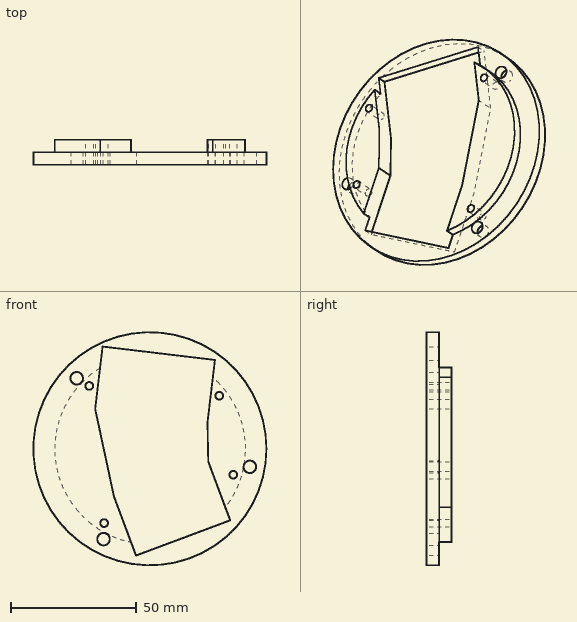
import cadquery as cq
import math

disc_diameter = 93.0
disc_thickness = 5.0
boss_diameter = 76.0
boss_height = 5.0
total_depth = disc_thickness + boss_height

end_length = 25.0
upper_width = 45.0
upper_tilt = -6.8
upper_center = (2.05, 25.6)
lower_width = 40.0
lower_tilt = 20.5
lower_center = (8.85, -23.8)
boss_opening_extension = 5.0

mount_hole_diameter = 4.9
mount_circle_radius = 40.5
mount_angles = (136.1, -10.25, -117.15)
pin_hole_diameter = 3.0
pin_circle_radius = 34.8
pin_angles = (134.0, 37.4, -17.35, -121.6)


def extrude_back(sketch, depth):
    """Extrude an XZ sketch from its own plane toward +Y."""
    return sketch.extrude(-depth)


def polar_points(radius, angles):
    """Points (X, Z) on a circle about the disc axis, angles in degrees from +X."""
    return [
        (radius * math.cos(math.radians(angle)), radius * math.sin(math.radians(angle)))
        for angle in angles
    ]


def tilted_corner(center, tilt, across, along):
    """Point at an offset from center, measured in axes turned by tilt degrees."""
    cosine = math.cos(math.radians(tilt))
    sine = math.sin(math.radians(tilt))
    x = center[0] + across * cosine - along * sine
    z = center[1] + across * sine + along * cosine
    return (x, z)


def end_corners(center, tilt, width, extra_top=0.0, extra_bottom=0.0):
    """Top-left, bottom-left, bottom-right and top-right corners of one opening end."""
    half_width = width / 2
    top = end_length / 2 + extra_top
    bottom = -end_length / 2 - extra_bottom
    offsets = ((-half_width, top), (-half_width, bottom), (half_width, bottom), (half_width, top))
    return [tilted_corner(center, tilt, across, along) for across, along in offsets]


def make_opening(depth, extension=0.0):
    """Eight-sided opening cutter, optionally lengthened past both ends."""
    upper = end_corners(upper_center, upper_tilt, upper_width, extra_top=extension)
    lower = end_corners(lower_center, lower_tilt, lower_width, extra_bottom=extension)
    outline = upper[:2] + lower + upper[2:]
    return extrude_back(cq.Workplane("XZ").polyline(outline).close(), depth)


def make_disc():
    """Front disc with the opening through it."""
    disc = extrude_back(cq.Workplane("XZ").circle(disc_diameter / 2), disc_thickness)
    return disc.cut(make_opening(disc_thickness))


def make_pads():
    """Coaxial boss split by the opening into a left and a right pad."""
    boss_plane = cq.Workplane("XZ", origin=(0, disc_thickness, 0))
    boss = extrude_back(boss_plane.circle(boss_diameter / 2), boss_height)
    return boss.cut(make_opening(total_depth, boss_opening_extension))


def make_holes(radius, angles, diameter, depth):
    """Round holes on a circle about the disc axis, starting at the front face."""
    points = polar_points(radius, angles)
    return extrude_back(cq.Workplane("XZ").pushPoints(points).circle(diameter / 2), depth)


mount_holes = make_holes(mount_circle_radius, mount_angles, mount_hole_diameter, disc_thickness)
pin_holes = make_holes(pin_circle_radius, pin_angles, pin_hole_diameter, total_depth)

result = make_disc().union(make_pads()).cut(mount_holes).cut(pin_holes)